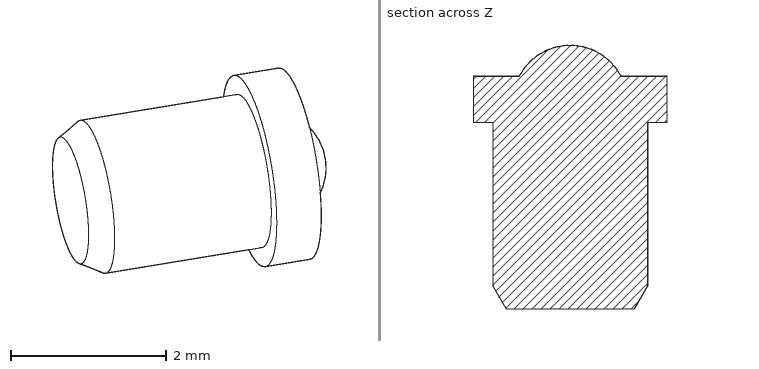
import cadquery as cq
import math

total_length = 3.4
flange_diameter = 2.5
flange_thickness = 0.6
body_diameter = 2.0
ball_diameter = 1.48
ball_protrusion = 0.4
taper_length = 0.3
taper_angle = 30.0

body_length = total_length - flange_thickness - ball_protrusion
taper_depth = taper_length * math.tan(math.radians(taper_angle))
body_radius = body_diameter / 2
flange_radius = flange_diameter / 2
ball_center_y = flange_thickness + ball_protrusion - ball_diameter / 2

sleeve = (
    cq.Workplane("XY")
    .moveTo(0, -body_length)
    .lineTo(body_radius - taper_depth, -body_length)
    .lineTo(body_radius, taper_length - body_length)
    .lineTo(body_radius, 0)
    .lineTo(flange_radius, 0)
    .lineTo(flange_radius, flange_thickness)
    .lineTo(0, flange_thickness)
    .close()
    .revolve(360, (0, 0, 0), (0, 1, 0))
)

ball = cq.Workplane("XY").sphere(ball_diameter / 2).translate((0, ball_center_y, 0))

result = sleeve.union(ball)